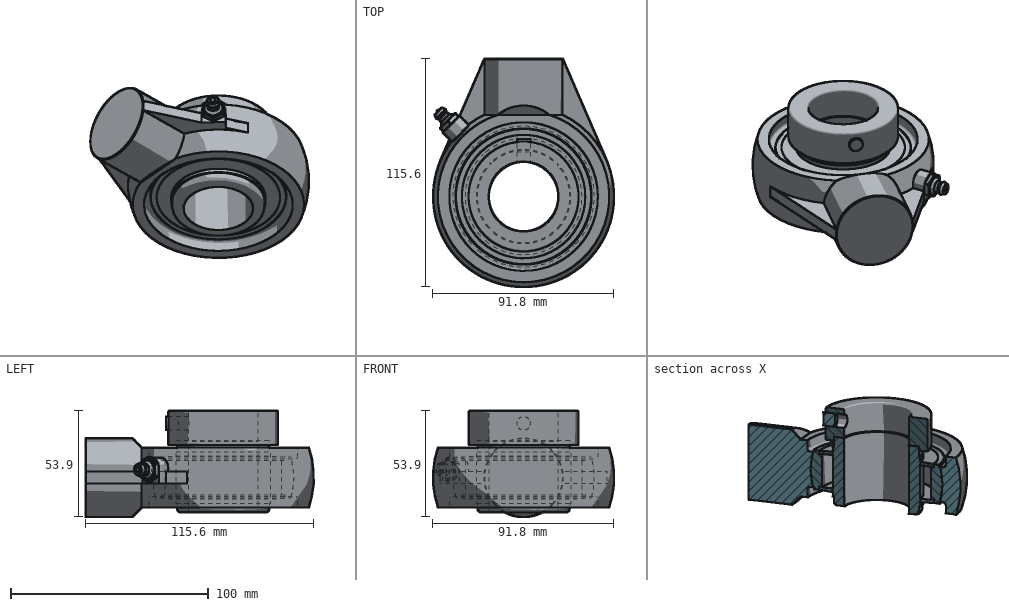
import cadquery as cq
import math

BORE_DIA = 35.0

HOUSING_SPHERE_RADIUS = 45.9
HOUSING_HALF_WIDTH = 15.2
SEAT_SPHERE_RADIUS = 35.7
COUNTERBORE_DIA = 75.2
COUNTERBORE_FLOOR_Z = 9.5
COUNTERBORE_FILLET = 1.2

NECK_DIA = 40.0
NECK_END_Y = 69.7
NECK_START_Y = 41.2
NECK_BEVEL = NECK_DIA / 2 - HOUSING_HALF_WIDTH
NECK_END_CHAMFER = 0.3
WEB_THICKNESS = 6.0

GREASE_AXIS_ANGLE = 45
GREASE_AXIS_Z = 4.0
BOSS_WIDTH = 12.0
BOSS_START = 40.5
BOSS_FACE = 51.8
HEX_ACROSS_FLATS = 11.0
HEX_TURN = 30
HEX_FRONT = 54.4
HEX_CORNER_CHAMFER = 0.5
CONE_BASE_DIA = 9.3
NIPPLE_NECK_DIA = 6.0
NIPPLE_NECK_START = 56.0
NIPPLE_GROOVE_DIA = 5.5
GROOVE_START = 57.0
GROOVE_END = 57.7
HEAD_DIA = 6.8
HEAD_MIDDLE = 59.1
HEAD_FRONT = 61.1
HEAD_FACE_DIA = 5.3
VALVE_DIA = 2.5
VALVE_RISE = 0.6

OUTER_RING_HALF_WIDTH = 10.4
OUTER_RING_BORE = 59.0
SEAL_DIA = 62.5
SEAL_THICKNESS = 1.7
SEAL_CONE_RISE = 0.5
INNER_RING_DIA = 46.7
INNER_RING_SHOULDER_DIA = 47.8
INNER_RING_SHOULDER_HALF_WIDTH = 13.1
INNER_RING_BOTTOM = -17.6
INNER_RING_TOP = 18.7
INNER_RING_FILLET = 2.0
INNER_RING_TOP_CHAMFER = 0.3

COLLAR_DIA = 55.6
COLLAR_BOTTOM = 16.4
COLLAR_TOP = 33.9
COLLAR_TOP_FILLET = 1.0
COLLAR_BOTTOM_FILLET = 0.7
SCREW_DIA = 6.8
SCREW_Z = 27.4
SCREW_INNER_END_Y = 22.5
SCREW_OUTER_END_Y = 29.0


def disc(diameter, bottom, top):
    """Cylinder on the bore axis between two heights."""
    return cq.Workplane("XY").workplane(offset=bottom).circle(diameter / 2).extrude(top - bottom)


def ball_slice(radius, half_width):
    """Sphere cut flat above and below at equal heights."""
    flat_radius = math.sqrt(radius**2 - half_width**2)
    return (
        cq.Workplane("XZ")
        .moveTo(0, -half_width)
        .lineTo(flat_radius, -half_width)
        .threePointArc((radius, 0), (flat_radius, half_width))
        .lineTo(0, half_width)
        .close()
        .revolve(360, (0, 0, 0), (0, 1, 0))
    )


def along_grease_axis(shape):
    """Turn a shape built along +Z, with its own X to the side, onto the grease axis."""
    return (
        shape.rotate((0, 0, 0), (1, 0, 0), -90)
        .rotate((0, 0, 0), (0, 0, 1), GREASE_AXIS_ANGLE)
        .translate((0, 0, GREASE_AXIS_Z))
    )


def make_web():
    """Flat plate whose slanted edges run from the neck end tangent to the housing."""
    corner_x = NECK_DIA / 2
    corner_y = NECK_END_Y - NECK_END_CHAMFER
    corner_distance = math.hypot(corner_x, corner_y)
    tangent_angle = math.atan2(corner_y, corner_x) - math.acos(HOUSING_SPHERE_RADIUS / corner_distance)
    tangent_x = HOUSING_SPHERE_RADIUS * math.cos(tangent_angle)
    tangent_y = HOUSING_SPHERE_RADIUS * math.sin(tangent_angle)
    outline = [(-tangent_x, tangent_y), (tangent_x, tangent_y), (corner_x, corner_y), (-corner_x, corner_y)]
    return cq.Workplane("XY").polyline(outline).close().extrude(WEB_THICKNESS / 2, both=True)


def make_neck():
    """Round hanger neck, bevelled above and below where it meets the housing."""
    neck = (
        cq.Workplane("XZ", origin=(0, NECK_START_Y, 0))
        .circle(NECK_DIA / 2)
        .extrude(NECK_START_Y - NECK_END_Y)
        .faces(">Y")
        .chamfer(NECK_END_CHAMFER)
    )
    side_outline = [
        (NECK_START_Y, -HOUSING_HALF_WIDTH),
        (NECK_START_Y + NECK_BEVEL, -NECK_DIA / 2),
        (NECK_END_Y, -NECK_DIA / 2),
        (NECK_END_Y, NECK_DIA / 2),
        (NECK_START_Y + NECK_BEVEL, NECK_DIA / 2),
        (NECK_START_Y, HOUSING_HALF_WIDTH),
    ]
    return neck.intersect(cq.Workplane("YZ").polyline(side_outline).close().extrude(NECK_DIA, both=True))


def make_boss():
    """Grease boss with an arched top and a flat underside level with the web."""
    half_width = BOSS_WIDTH / 2
    drop = GREASE_AXIS_Z + WEB_THICKNESS / 2
    boss = (
        cq.Workplane("XY")
        .workplane(offset=BOSS_START)
        .moveTo(-half_width, drop)
        .lineTo(-half_width, 0)
        .threePointArc((0, -half_width), (half_width, 0))
        .lineTo(half_width, drop)
        .close()
        .extrude(BOSS_FACE - BOSS_START)
    )
    return along_grease_axis(boss)


def make_housing():
    """Ball-shaped housing with neck, web and grease boss, bored for the outer ring."""
    body = ball_slice(HOUSING_SPHERE_RADIUS, HOUSING_HALF_WIDTH)
    body = body.union(make_web()).union(make_neck()).union(make_boss())
    counterbore = (
        disc(COUNTERBORE_DIA, COUNTERBORE_FLOOR_Z, HOUSING_HALF_WIDTH)
        .faces("<Z")
        .edges()
        .fillet(COUNTERBORE_FILLET)
    )
    seat = cq.Workplane("XY").sphere(SEAT_SPHERE_RADIUS)
    return body.cut(counterbore).cut(counterbore.mirror("XY")).cut(seat)


def make_outer_ring():
    """Ring with a spherical outside that fills the housing seat, recessed at both ends for the seals."""
    ring = ball_slice(SEAT_SPHERE_RADIUS, OUTER_RING_HALF_WIDTH)
    recess = disc(SEAL_DIA, OUTER_RING_HALF_WIDTH - SEAL_THICKNESS, OUTER_RING_HALF_WIDTH)
    ring = ring.cut(recess).cut(recess.mirror("XY"))
    return ring.cut(disc(OUTER_RING_BORE, -OUTER_RING_HALF_WIDTH, OUTER_RING_HALF_WIDTH))


def make_seal():
    """Upper seal ring, its outer face rising slightly towards the inner ring."""
    outline = [
        (INNER_RING_SHOULDER_DIA / 2, OUTER_RING_HALF_WIDTH - SEAL_THICKNESS),
        (SEAL_DIA / 2, OUTER_RING_HALF_WIDTH - SEAL_THICKNESS),
        (SEAL_DIA / 2, OUTER_RING_HALF_WIDTH),
        (INNER_RING_SHOULDER_DIA / 2, OUTER_RING_HALF_WIDTH + SEAL_CONE_RISE),
    ]
    return cq.Workplane("XZ").polyline(outline).close().revolve(360, (0, 0, 0), (0, 1, 0))


def make_inner_ring():
    """Inner ring with a slightly wider middle and a rounded lower end."""
    ring = disc(INNER_RING_DIA, INNER_RING_BOTTOM, INNER_RING_TOP)
    ring = ring.faces("<Z").edges().fillet(INNER_RING_FILLET)
    shoulder = disc(INNER_RING_SHOULDER_DIA, -INNER_RING_SHOULDER_HALF_WIDTH, INNER_RING_SHOULDER_HALF_WIDTH)
    ring = ring.union(shoulder)
    ring = ring.cut(disc(BORE_DIA, INNER_RING_BOTTOM, INNER_RING_TOP))
    bore_edge = ring.faces(">Z").edges(cq.selectors.RadiusNthSelector(0))
    return bore_edge.chamfer(INNER_RING_TOP_CHAMFER)


def make_screw():
    """Set screw standing proud of the collar on +Y."""
    return (
        cq.Workplane("XZ", origin=(0, SCREW_INNER_END_Y, SCREW_Z))
        .circle(SCREW_DIA / 2)
        .extrude(SCREW_INNER_END_Y - SCREW_OUTER_END_Y)
    )


def make_collar():
    """Locking collar, recessed below for the inner ring and drilled on +Y for the set screw."""
    collar = disc(COLLAR_DIA, COLLAR_BOTTOM, COLLAR_TOP)
    collar = collar.faces("<Z").edges().fillet(COLLAR_BOTTOM_FILLET)
    collar = collar.cut(disc(BORE_DIA, COLLAR_BOTTOM, COLLAR_TOP))
    collar = collar.faces(">Z").edges().fillet(COLLAR_TOP_FILLET)
    collar = collar.cut(disc(INNER_RING_DIA, COLLAR_BOTTOM, INNER_RING_TOP))
    screw_hole = cq.Workplane("XZ", origin=(0, 0, SCREW_Z)).circle(SCREW_DIA / 2).extrude(-COLLAR_DIA)
    return collar.cut(screw_hole)


def make_nipple():
    """Grease nipple: hexagon, cone, grooved neck, double-cone head and domed valve."""
    hex_corner_radius = HEX_ACROSS_FLATS / math.sqrt(3)
    hexagon = (
        cq.Workplane("XY")
        .workplane(offset=BOSS_FACE)
        .polygon(6, 2 * hex_corner_radius)
        .extrude(HEX_FRONT - BOSS_FACE)
        .rotate((0, 0, 0), (0, 0, 1), HEX_TURN)
    )
    chamfer_envelope = disc(2 * hex_corner_radius, BOSS_FACE, HEX_FRONT)
    corner_inset = hex_corner_radius - HEX_ACROSS_FLATS / 2
    chamfer_envelope = chamfer_envelope.faces(">Z").chamfer(HEX_CORNER_CHAMFER, corner_inset)
    hexagon = hexagon.intersect(chamfer_envelope)
    valve_top = HEAD_FRONT + VALVE_RISE
    dome_radius = ((VALVE_DIA / 2) ** 2 + VALVE_RISE**2) / (2 * VALVE_RISE)
    half_angle = math.asin(VALVE_DIA / 2 / dome_radius) / 2
    dome_middle = (dome_radius * math.sin(half_angle), valve_top - dome_radius * (1 - math.cos(half_angle)))
    spout = (
        cq.Workplane("XZ")
        .moveTo(0, HEX_FRONT)
        .lineTo(CONE_BASE_DIA / 2, HEX_FRONT)
        .lineTo(NIPPLE_NECK_DIA / 2, NIPPLE_NECK_START)
        .lineTo(NIPPLE_GROOVE_DIA / 2, GROOVE_START)
        .lineTo(NIPPLE_GROOVE_DIA / 2, GROOVE_END)
        .lineTo(HEAD_DIA / 2, HEAD_MIDDLE)
        .lineTo(HEAD_FACE_DIA / 2, HEAD_FRONT)
        .lineTo(VALVE_DIA / 2, HEAD_FRONT)
        .threePointArc(dome_middle, (0, valve_top))
        .close()
        .revolve(360, (0, 0, 0), (0, 1, 0))
    )
    return along_grease_axis(hexagon.union(spout))


housing = make_housing()
outer_ring = make_outer_ring()
upper_seal = make_seal()
seals = [upper_seal, upper_seal.mirror("XY")]
inner_ring = make_inner_ring()
collar = make_collar()
screw = make_screw()
nipple = make_nipple()

result = cq.Compound.makeCompound(
    [
        housing.val(),
        outer_ring.val(),
        *[seal.val() for seal in seals],
        inner_ring.val(),
        collar.val(),
        screw.val(),
        nipple.val(),
    ]
)